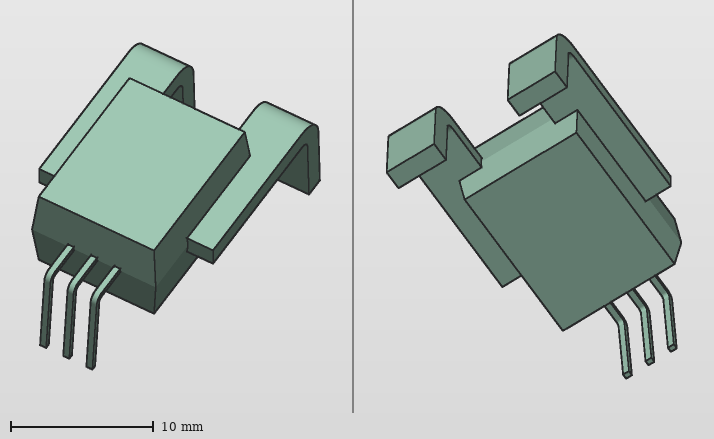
import cadquery as cq
import math


housing_width = 10.1
housing_length = 13.07
housing_center_y = 0.02
housing_height = 7.1
draft_angle = 5.5

floor_z = -7.05

terminal_span = 14.2
terminal_width = 4.0
terminal_thickness = 1.5
terminal_bend_radius = 0.75
terminal_splay = 2.0
terminal_start = 2.12
terminal_reach = 12.48

pin_count = 3
pin_pitch = 1.9
pin_width = 0.5
pin_thickness = 0.39
pin_bend_radius = 0.3
pin_splay = 5.0
pin_embed = 1.0
pin_reach = 22.77 - terminal_reach


def bent_strip(start, reach, thickness, inner_radius, splay, width, center_x, side):
    """Flat strip along Y, bent down to a leg that leans outwards by the splay angle.

    start and reach are Y positions measured towards side, which is +1 or -1.
    """
    angle = math.radians(splay)
    middle_angle = (math.pi / 2 + angle) / 2
    outer_radius = inner_radius + thickness
    bend_z = thickness / 2 - outer_radius
    leg_drop = bend_z + outer_radius * math.sin(angle) - floor_z
    bend_y = reach - outer_radius * math.cos(angle) - leg_drop * math.tan(angle)

    def on_bend(radius, direction):
        y = bend_y + radius * math.cos(direction)
        return (side * y, bend_z + radius * math.sin(direction))

    return (
        cq.Workplane("YZ")
        .workplane(offset=center_x - width / 2)
        .moveTo(side * start, thickness / 2)
        .lineTo(side * bend_y, thickness / 2)
        .threePointArc(on_bend(outer_radius, middle_angle), on_bend(outer_radius, angle))
        .lineTo(side * reach, floor_z)
        .lineTo(side * (reach - thickness / math.cos(angle)), floor_z)
        .lineTo(*on_bend(inner_radius, angle))
        .threePointArc(on_bend(inner_radius, middle_angle), (side * bend_y, -thickness / 2))
        .lineTo(side * start, -thickness / 2)
        .close()
        .extrude(width)
    )


def make_terminal(center_x):
    return bent_strip(
        -terminal_start, terminal_reach, terminal_thickness, terminal_bend_radius,
        terminal_splay, terminal_width, center_x, 1,
    )


def make_pin(center_x):
    return bent_strip(
        housing_length / 2 - housing_center_y - pin_embed, pin_reach, pin_thickness, pin_bend_radius,
        pin_splay, pin_width, center_x, -1,
    )


def make_housing(inserts):
    """Two tapered halves moulded as one block, with a matching pocket for each insert."""
    outline = cq.Workplane("XY").center(0, housing_center_y).rect(housing_width, housing_length)
    upper_half = outline.extrude(housing_height / 2, taper=draft_angle)
    lower_half = upper_half.mirror("XY")
    block = upper_half.union(lower_half)
    for insert in inserts:
        block = block.cut(insert)
    return block.solids()


terminal_center = (terminal_span - terminal_width) / 2
terminals = [make_terminal(side * terminal_center) for side in (-1, 1)]
pins = [make_pin((index - (pin_count - 1) / 2) * pin_pitch) for index in range(pin_count)]
housing = make_housing(terminals + pins)

result = cq.Compound.makeCompound(
    [housing.val()]
    + [terminal.val() for terminal in terminals]
    + [pin.val() for pin in pins]
)